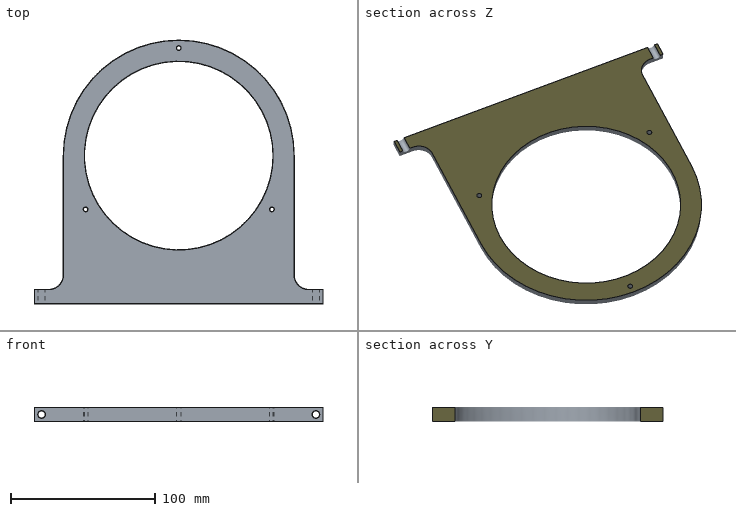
import cadquery as cq
import math

thickness = 10.0
foot_length = 200.0
foot_depth = 10.0
corner_radius = 10.0
total_depth = 182.67

body_radius = 80.0
bore_diameter = 130.5

ring_hole_count = 3
ring_hole_diameter = 3.0
ring_hole_circle_radius = 74.5
foot_hole_diameter = 5.0
foot_hole_edge_distance = 5.0

foot_front = body_radius - total_depth
foot_back = foot_front + foot_depth
half_foot = foot_length / 2


def make_plate():
    """Round-topped plate that widens through concave corners into a straight foot."""
    corner_end_x = body_radius + corner_radius
    corner_end_y = foot_back + corner_radius
    corner_mid_offset = corner_radius * (1 - math.sqrt(0.5))
    corner_mid_x = body_radius + corner_mid_offset
    corner_mid_y = foot_back + corner_mid_offset
    return (
        cq.Workplane("XY")
        .moveTo(-half_foot, foot_front)
        .lineTo(half_foot, foot_front)
        .lineTo(half_foot, foot_back)
        .lineTo(corner_end_x, foot_back)
        .threePointArc((corner_mid_x, corner_mid_y), (body_radius, corner_end_y))
        .lineTo(body_radius, 0)
        .threePointArc((0, body_radius), (-body_radius, 0))
        .lineTo(-body_radius, corner_end_y)
        .threePointArc((-corner_mid_x, corner_mid_y), (-corner_end_x, foot_back))
        .lineTo(-half_foot, foot_back)
        .close()
        .extrude(thickness)
    )


def make_bore():
    """Large through opening concentric with the round top."""
    return cq.Workplane("XY").circle(bore_diameter / 2).extrude(thickness)


def make_ring_holes():
    """Small through holes evenly spaced around the bore, the first at +Y."""
    return (
        cq.Workplane("XY")
        .polarArray(ring_hole_circle_radius, 90, 360, ring_hole_count)
        .circle(ring_hole_diameter / 2)
        .extrude(thickness)
    )


def make_foot_holes():
    """Holes along Y through both ends of the foot, at mid thickness."""
    hole_x = half_foot - foot_hole_edge_distance
    return (
        cq.Workplane("XZ", origin=(0, foot_back, thickness / 2))
        .pushPoints([(-hole_x, 0), (hole_x, 0)])
        .circle(foot_hole_diameter / 2)
        .extrude(foot_depth)
    )


result = make_plate().cut(make_bore()).cut(make_ring_holes()).cut(make_foot_holes())